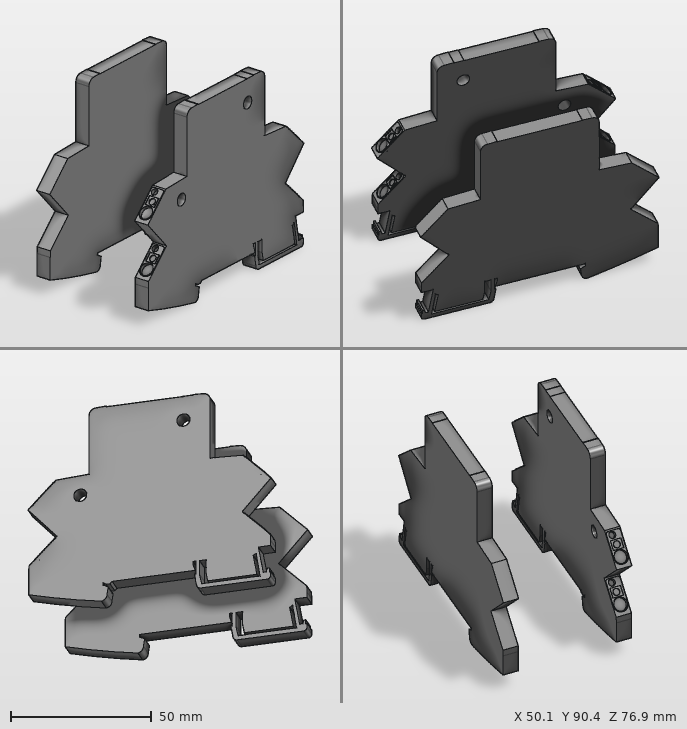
import cadquery as cq


thickness = 6.0
housing_pitch = 44.1
terminal_rise = 0.2

tower_half = 22.5
tower_corner_radius = 2.7
ridge_z = 76.7
ridge_slope_rise = 0.2
tower_top_z = ridge_z - ridge_slope_rise
shoulder_root_z = 50.7
label_half = 16.1
label_depth = 0.2
label_step_y = 12.3
label_step_depth = 0.1

shoulder_y, shoulder_z = 34.8, 50.1
tip_y, tip_z = 45.2, 39.8
notch_y, notch_z = 34.5, 27.95
wall_top_y, wall_top_z = 44.9, 17.7
wall_y = 44.95
wall_kink_z = 15.2

underside_z = 7.2
hook_wall_y = -17.4
hook_notch_z = 6.3
hook_toe = (-15.4, 5.25)
hook_front_end = (-15.8, 2.35)
heel_middle = (-16.5, 0.7)
heel_end = (-17.9, 0)
sole_middle = (-31.4, 2.8)
sole_end_z = 6.3
lip_root_y = -13.9
lip_z = 6.4
lip_bottom_start_y, lip_bottom_end_y = -14.7, -16.2

foot_ledge_z = 13.1
front_leg_top_y = 40.4
front_leg_bottom_y = 42.2
lug_notch_z = 3.0
lug_notch_y = 43.3
lug_tip_z = 4.3
lug_tip_inner_y, lug_tip_outer_y = 43.8, 44.5
lug_shoulder_z = 2.9
lug_corner_radius = 1.3
rear_corner_start_y = 19.0
rear_corner_end = (17.4, 1.7)
rear_corner_radius = 1.7
rear_barb = (16.6, 5.8)
rear_leg_outer_y = 17.2
rear_leg_barb_z = 6.0
slot_top_z = 10.85
slot_wall_y = 16.1
slot_wall_end_z = 9.9
slot_mouth_y = 16.9

window_front_top = (39.6, 10.8)
block_front_top = (38.5, 10.0)
block_bottom_z = 2.4
block_front_y, block_rear_y = 39.9, 21.6
block_rear_upper_y = 21.0
block_rear_bend_z = 5.8
rear_leg_inner_y = 18.5
rear_leg_bend_z = 5.4
foot_floor_z = 1.6
foot_floor_rear_y, foot_floor_front_y = 19.4, 41.1

hole_diameter = 4.8
hole_places = [(12.6, 67.1), (-25.8, 42.9)]

pad_width = 5.6
pad_height = 0.2
pad_start = 0.6
pad_corner_radius = 0.9
wire_place = 10.5
wire_diameter = 5.1
wire_depth = 1.5
clamp_place = 5.9
clamp_width, clamp_length = 4.1, 3.6
clamp_depth = 0.3
clamp_hole_diameter = 2.5
clamp_hole_depth = 0.7
test_place = 2.3
test_diameter = 2.5
test_offset = 0.7
test_depth = 1.8


def housing_plate():
    """Full side outline, extruded through the thickness."""
    corner_y = tower_half - tower_corner_radius
    corner_z = tower_top_z - tower_corner_radius
    outline = (
        cq.Workplane("YZ")
        .moveTo(-tower_half, shoulder_root_z)
        .lineTo(-tower_half, corner_z)
        .radiusArc((-corner_y, tower_top_z), tower_corner_radius)
        .lineTo(-label_half, ridge_z)
        .lineTo(label_half, ridge_z)
        .lineTo(corner_y, tower_top_z)
        .radiusArc((tower_half, corner_z), tower_corner_radius)
        .lineTo(tower_half, shoulder_root_z)
        .lineTo(shoulder_y, shoulder_z)
        .lineTo(tip_y, tip_z)
        .lineTo(notch_y, notch_z)
        .lineTo(wall_top_y, wall_top_z)
        .lineTo(wall_y, wall_kink_z)
        .lineTo(wall_y, foot_ledge_z)
        .lineTo(front_leg_top_y, foot_ledge_z)
        .lineTo(front_leg_bottom_y, lug_notch_z)
        .lineTo(lug_notch_y, lug_notch_z)
        .lineTo(lug_tip_inner_y, lug_tip_z)
        .lineTo(lug_tip_outer_y, lug_tip_z)
        .lineTo(lug_tip_outer_y, lug_shoulder_z)
        .lineTo(wall_y, lug_shoulder_z)
        .lineTo(wall_y, lug_corner_radius)
        .radiusArc((wall_y - lug_corner_radius, 0), lug_corner_radius)
        .lineTo(rear_corner_start_y, 0)
        .radiusArc(rear_corner_end, rear_corner_radius)
        .lineTo(*rear_barb)
        .lineTo(rear_leg_outer_y, rear_leg_barb_z)
        .lineTo(rear_leg_outer_y, slot_top_z)
        .lineTo(slot_wall_y, slot_top_z)
        .lineTo(slot_wall_y, slot_wall_end_z)
        .lineTo(slot_mouth_y, underside_z)
        .lineTo(hook_wall_y, underside_z)
        .lineTo(hook_wall_y, hook_notch_z)
        .lineTo(*hook_toe)
        .lineTo(*hook_front_end)
        .threePointArc(heel_middle, heel_end)
        .threePointArc(sole_middle, (-wall_y, sole_end_z))
        .lineTo(-wall_y, wall_kink_z)
        .lineTo(-wall_top_y, wall_top_z)
        .lineTo(-notch_y, notch_z)
        .lineTo(-tip_y, tip_z)
        .lineTo(-shoulder_y, shoulder_z)
        .close()
    )
    return outline.extrude(thickness)


def foot_window():
    """Opening that frees the spring foot from the block it surrounds."""
    points = [
        window_front_top,
        block_front_top,
        (block_front_y, block_bottom_z),
        (block_rear_y, block_bottom_z),
        (block_rear_upper_y, block_rear_bend_z),
        (block_rear_upper_y, slot_top_z),
        (rear_leg_inner_y, slot_top_z),
        (rear_leg_inner_y, rear_leg_bend_z),
        (foot_floor_rear_y, foot_floor_z),
        (foot_floor_front_y, foot_floor_z),
    ]
    return cq.Workplane("YZ").polyline(points).close().extrude(thickness)


def label_recess(y_start, y_end, depth):
    """Cutter for a shallow recess across the tower top, reaching above the ridge."""
    cutter = cq.Workplane("XY").box(thickness, y_end - y_start, 2 * depth)
    return cutter.translate((thickness / 2, (y_start + y_end) / 2, ridge_z))


def plain_housing():
    recess = label_recess(-label_half, label_half, label_depth)
    return housing_plate().cut(foot_window()).cut(recess)


def hook_lip():
    """Small lip under the body, just above the fixed hook."""
    points = [
        (lip_root_y, underside_z),
        (lip_bottom_start_y, lip_z),
        (lip_bottom_end_y, lip_z),
        (hook_wall_y, underside_z),
    ]
    return cq.Workplane("YZ").polyline(points).close().extrude(thickness)


def face_plane(upper_edge, lower_edge):
    """Plane on a -Y arm face: local x is X, local y runs up the slope from the upper edge."""
    upper_y, upper_z = upper_edge
    lower_y, lower_z = lower_edge
    outward = (0, lower_z - upper_z, upper_y - lower_y)
    return cq.Plane(origin=(thickness / 2, upper_y, upper_z), xDir=(1, 0, 0), normal=outward)


def terminal_pad(plane):
    """Raised pad, rounded at the upper corners and semicircular around the wire entry."""
    half = pad_width / 2
    inner = half - pad_corner_radius
    corner_end = -pad_start - pad_corner_radius
    return (
        cq.Workplane(plane)
        .moveTo(-half, -wire_place)
        .lineTo(-half, corner_end)
        .radiusArc((-inner, -pad_start), pad_corner_radius)
        .lineTo(inner, -pad_start)
        .radiusArc((half, corner_end), pad_corner_radius)
        .lineTo(half, -wire_place)
        .threePointArc((0, -wire_place - half), (-half, -wire_place))
        .close()
        .extrude(pad_height)
    )


def terminal_openings(plane):
    """Wire entry, clamp recess with its hole, and test hole, sunk from the pad surface."""
    surface = cq.Workplane(plane).workplane(offset=pad_height)
    wire = surface.center(0, -wire_place).circle(wire_diameter / 2).extrude(-wire_depth)
    clamp = surface.center(0, -clamp_place)
    recess = clamp.rect(clamp_width, clamp_length).extrude(-clamp_depth)
    clamp_hole = clamp.circle(clamp_hole_diameter / 2).extrude(-clamp_hole_depth)
    test = surface.center(-test_offset, -test_place).circle(test_diameter / 2).extrude(-test_depth)
    return [wire, recess, clamp_hole, test]


def terminal_housing():
    body = plain_housing().union(hook_lip())
    body = body.cut(label_recess(-label_half, label_step_y, label_depth + label_step_depth))
    holes = cq.Workplane("YZ").pushPoints(hole_places).circle(hole_diameter / 2).extrude(thickness)
    body = body.cut(holes)
    planes = [
        face_plane((-shoulder_y, shoulder_z), (-tip_y, tip_z)),
        face_plane((-notch_y, notch_z), (-wall_top_y, wall_top_z)),
    ]
    for plane in planes:
        pad = terminal_pad(plane)
        body = body.union(pad).union(pad.mirror("XZ"))
        for opening in terminal_openings(plane):
            body = body.cut(opening).cut(opening.mirror("XZ"))
    return body.translate((housing_pitch, 0, terminal_rise))


result = cq.Compound.makeCompound([plain_housing().val(), terminal_housing().val()])